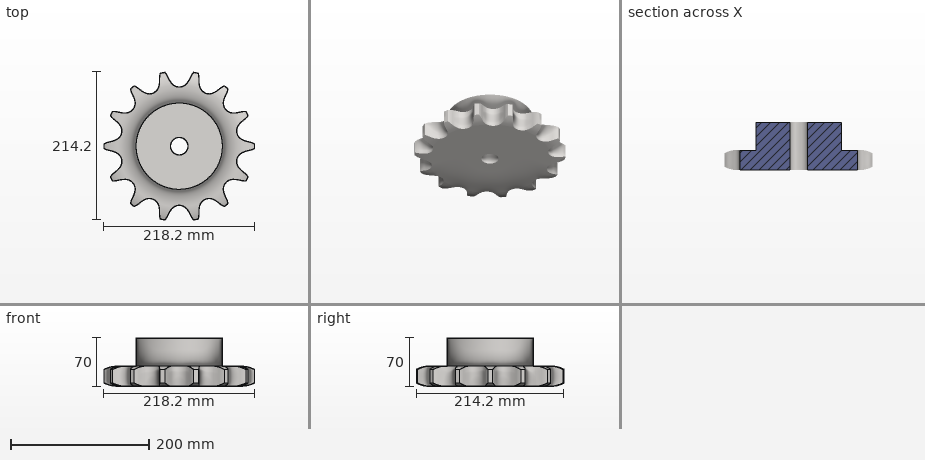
import cadquery as cq
import math


TOOTH_COUNT = 14
CHAIN_PITCH = 44.45
ROLLER_DIAMETER = 27.94
TIP_DIAMETER = 218.21
PLATE_WIDTH = 29.4
TOTAL_HEIGHT = 70.0
HUB_DIAMETER = 125.0
BORE_DIAMETER = 25.0

FLANK_START_RADIUS = 88.8
FLANK_ARC_RADIUS = CHAIN_PITCH

HALF_PITCH_DEGREES = 180 / TOOTH_COUNT
PITCH_RADIUS = CHAIN_PITCH / (2 * math.sin(math.radians(HALF_PITCH_DEGREES)))
TIP_RADIUS = TIP_DIAMETER / 2

SEATING_CLEARANCE = 0.0762
SEATING_RADIUS = (1.005 * ROLLER_DIAMETER + SEATING_CLEARANCE) / 2
SEATING_ANGLE = 35 + 60 / TOOTH_COUNT
WORKING_SWEEP = 18 - 56 / TOOTH_COUNT
WORKING_RADIUS = 1.3025 * ROLLER_DIAMETER + SEATING_CLEARANCE / 2
WORKING_CENTER_OFFSET = WORKING_RADIUS - SEATING_RADIUS
TOPPING_CENTER_OFFSET = 1.4 * ROLLER_DIAMETER
FLAT_LENGTH = (
    TOPPING_CENTER_OFFSET * math.sin(math.radians(17 - 64 / TOOTH_COUNT))
    - WORKING_CENTER_OFFSET * math.sin(math.radians(WORKING_SWEEP))
)

CUT_MARGIN = 5.0


def polar(center, radius, degrees):
    """Point at a distance and direction from a center."""
    angle = math.radians(degrees)
    return (center[0] + radius * math.cos(angle), center[1] + radius * math.sin(angle))


def mirrored(point):
    """Point reflected across the gap's center line, the Y axis."""
    return (-point[0], point[1])


def tooth_gap():
    """Cutter for the gap centered on +Y."""
    roller = (0, PITCH_RADIUS)
    root = polar(roller, SEATING_RADIUS, -90)

    seat_end = polar(roller, SEATING_RADIUS, -SEATING_ANGLE)
    working_center = polar(roller, WORKING_CENTER_OFFSET, 180 - SEATING_ANGLE)
    working_end_angle = WORKING_SWEEP - SEATING_ANGLE
    working_middle = polar(working_center, WORKING_RADIUS, WORKING_SWEEP / 2 - SEATING_ANGLE)
    working_end = polar(working_center, WORKING_RADIUS, working_end_angle)
    flat_end = polar(working_end, FLAT_LENGTH, working_end_angle + 90)

    topping_center = polar(roller, TOPPING_CENTER_OFFSET, -HALF_PITCH_DEGREES)
    topping_radius = math.dist(topping_center, flat_end)
    topping_start_angle = 180 + working_end_angle
    outer_y = TIP_RADIUS + CUT_MARGIN
    topping_rise = outer_y - topping_center[1]
    topping_end_angle = 180 - math.degrees(math.asin(topping_rise / topping_radius))
    topping_middle_angle = (topping_start_angle + topping_end_angle) / 2
    topping_middle = polar(topping_center, topping_radius, topping_middle_angle)
    topping_end = polar(topping_center, topping_radius, topping_end_angle)

    return (
        cq.Workplane("XY")
        .moveTo(*mirrored(seat_end))
        .threePointArc(root, seat_end)
        .threePointArc(working_middle, working_end)
        .lineTo(*flat_end)
        .threePointArc(topping_middle, topping_end)
        .lineTo(*mirrored(topping_end))
        .threePointArc(mirrored(topping_middle), mirrored(flat_end))
        .lineTo(*mirrored(working_end))
        .threePointArc(mirrored(working_middle), mirrored(seat_end))
        .close()
        .extrude(PLATE_WIDTH)
    )


def sprocket_blank():
    """Disc whose rim is rounded on both faces by arcs tangent to the flats."""
    flank_length = TIP_RADIUS - FLANK_START_RADIUS
    end_angle = math.degrees(math.asin(flank_length / FLANK_ARC_RADIUS))
    lower_center = (FLANK_START_RADIUS, FLANK_ARC_RADIUS)
    upper_center = (FLANK_START_RADIUS, PLATE_WIDTH - FLANK_ARC_RADIUS)
    return (
        cq.Workplane("XZ")
        .lineTo(FLANK_START_RADIUS, 0)
        .threePointArc(
            polar(lower_center, FLANK_ARC_RADIUS, end_angle / 2 - 90),
            polar(lower_center, FLANK_ARC_RADIUS, end_angle - 90),
        )
        .lineTo(*polar(upper_center, FLANK_ARC_RADIUS, 90 - end_angle))
        .threePointArc(
            polar(upper_center, FLANK_ARC_RADIUS, 90 - end_angle / 2),
            (FLANK_START_RADIUS, PLATE_WIDTH),
        )
        .lineTo(0, PLATE_WIDTH)
        .close()
        .revolve(360, (0, 0, 0), (0, 1, 0))
    )


def toothed_plate():
    """Blank with every tooth gap cut; gaps lie on the Y axis, teeth on the X axis."""
    plate = sprocket_blank()
    gap = tooth_gap()
    for index in range(TOOTH_COUNT):
        plate = plate.cut(gap.rotate((0, 0, 0), (0, 0, 1), index * 2 * HALF_PITCH_DEGREES))
    return plate


def hub():
    """Cylindrical hub from the plate's lower face to the full height."""
    return cq.Workplane("XY").circle(HUB_DIAMETER / 2).extrude(TOTAL_HEIGHT)


def bore():
    """Cutter for the through bore."""
    return cq.Workplane("XY").circle(BORE_DIAMETER / 2).extrude(TOTAL_HEIGHT)


result = toothed_plate().union(hub()).cut(bore())